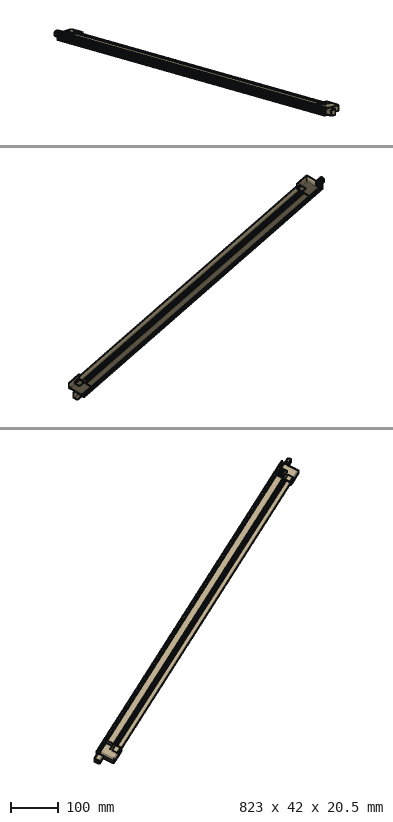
import cadquery as cq

overall_length = 823.0
overall_depth = 42.0
overall_height = 20.5

lens_start = 14.0
lens_end = 807.0
lens_thickness = 1.0
channel_height = 17.0
mid_height = channel_height / 2
rib_count = 14
rib_depth = 0.5
web_start = 16.0
web_bottom = 1.6
channel_front = 5.0
channel_back = 22.3
ledge_depth = 2.4
ledge_drop = 0.4

lip_bend = 24.8
lip_tip = 27.4
lip_rise = 2.5
lip_thickness = 0.8

tube_diameter = 11.6
tube_y = 34.5

cap_height = 15.2
cap_top = mid_height + cap_height / 2
cap_edge = 2.6
left_cap_start = 15.2
left_cap_end = 48.6
right_cap_start = 772.6
right_cap_end = 807.0
right_bevel = 4.8
right_bevel_drop = 1.5
right_corner_radius = 2.0
socket_width_left = 12.5
socket_width_right = 14.9
socket_front = 27.2
socket_rise = 0.4
joint_width = 0.5
joint_depth = 0.4
joint_offset = 5.0

switch_start = 28.8
switch_width = 9.8
switch_front = 7.4
switch_depth = 3.0
lever_start = 31.0
lever_width = 5.5
lever_base_y = 16.0
lever_shoulder = 1.5
lever_front_y = 11.6
lever_neck_y = 12.2
lever_tip_y = 11.0
lever_tip_height = 0.8
lever_thickness = 2.0

flange_end = 18.8
flange_depth = 12.0
flange_top = 14.8
inlet_front = 6.4
inlet_back = 14.9
inlet_height = 14.0
inlet_flat = 5.2
inlet_bulge_y = 9.0
inlet_bulge_drop = 1.6
inlet_wall = 1.2
inlet_recess = 8.0
pin_diameter = 2.0
pin_pitch = 3.2
outlet_height = 14.0
outlet_y = 10.2
outlet_depth = 13.4
outlet_edge = 2.4
outlet_end_chamfer = 1.2


def box(x0, x1, y0, y1, z0, z1):
    """Axis-aligned box between two corners."""
    return cq.Workplane("XY").box(x1 - x0, y1 - y0, z1 - z0, centered=False).translate((x0, y0, z0))


def centred_box(x0, x1, y0, y1, height):
    """Box whose height is centred on the middle of the channel."""
    return box(x0, x1, y0, y1, mid_height - height / 2, mid_height + height / 2)


def bar(outline, x0, x1):
    """Prism along X with a closed outline of (y, z) points."""
    return cq.Workplane("YZ").polyline(outline).close().extrude(x1 - x0).translate((x0, 0, 0))


def make_lens():
    """Front plate with sawtooth ribs along its length, and the web behind it."""
    pitch = channel_height / rib_count
    outline = [(lens_thickness, channel_height), (lens_thickness, 0), (0, 0)]
    for rib in range(rib_count):
        outline.append((rib_depth, (rib + 0.5) * pitch))
        outline.append((0, (rib + 1) * pitch))
    plate = bar(outline, lens_start, lens_end)
    web = box(web_start, lens_end, lens_thickness, channel_front, web_bottom, channel_height)
    return plate.union(web)


def make_channel():
    """Channel with a low ledge on the front and two flared reflector lips on the back."""
    ledge_back = channel_front + ledge_depth
    ledge = centred_box(web_start, lens_end, channel_front, ledge_back, channel_height - 2 * ledge_drop)
    core = box(left_cap_end, right_cap_start, ledge_back, channel_back, 0, channel_height)
    lip_outline = [
        (channel_back, lip_rise),
        (lip_bend, lip_rise),
        (lip_tip, 0),
        (lip_tip, lip_thickness),
        (lip_bend, lip_rise + lip_thickness),
        (channel_back, lip_rise + lip_thickness),
    ]
    low_lip = bar(lip_outline, left_cap_end, right_cap_start)
    high_lip = low_lip.mirror("XY", (0, 0, mid_height))
    return ledge.union(core).union(low_lip).union(high_lip)


def make_tube():
    """Lamp tube reaching into both sockets."""
    length = right_cap_start - left_cap_end + socket_width_left + socket_width_right
    start = left_cap_end - socket_width_left
    circle = cq.Workplane("YZ").center(tube_y, mid_height).circle(tube_diameter / 2)
    return circle.extrude(length).translate((start, 0, 0))


def make_socket(x0, x1):
    """Raised lamp holder at the back of an end cap."""
    holder = centred_box(x0, x1, socket_front, overall_depth, cap_height + 2 * socket_rise)
    return holder.edges("|X and >Y").chamfer(cap_edge)


def cut_joints(cap, line_x, x0, x1):
    """Shallow joint lines in the top of an end cap: one along X and one along Y."""
    joint_floor = cap_top - joint_depth
    along = box(x0, x1, channel_back - joint_width, channel_back, joint_floor, cap_top)
    across = box(line_x, line_x + joint_width, channel_front, channel_back, joint_floor, cap_top)
    return cap.cut(along).cut(across)


def make_left_cap():
    """Left end cap, rounded on the end and back, with its lamp holder and switch recess."""
    cap = centred_box(left_cap_start, left_cap_end, channel_front, overall_depth, cap_height)
    cap = cap.edges("<X or >Y").edges("not(|Z or <Y)").fillet(cap_edge)
    cap = cut_joints(cap, left_cap_end - joint_offset, switch_start, left_cap_end)
    cap = cap.union(make_socket(left_cap_end - socket_width_left, left_cap_end))
    recess = box(
        switch_start,
        switch_start + switch_width,
        switch_front,
        channel_back,
        cap_top - switch_depth,
        cap_top,
    )
    return cap.cut(recess)


def make_lever():
    """Rocker lever with an overhanging tip that rises above the switch recess."""
    outline = [
        (lever_base_y, mid_height),
        (lever_base_y, channel_height + lever_shoulder),
        (lever_tip_y + lever_thickness, overall_height),
        (lever_tip_y, overall_height),
        (lever_neck_y, overall_height - lever_tip_height),
        (lever_front_y, channel_height),
        (lever_front_y, mid_height),
    ]
    return bar(outline, lever_start, lever_start + lever_width)


def make_right_cap():
    """Right end cap with a bevelled end and its lamp holder."""
    cap = centred_box(right_cap_start, right_cap_end, channel_front, overall_depth, cap_height)
    cap = cap.edges("|Z and >X and >Y").fillet(right_corner_radius)
    cap = cap.faces(">Y").edges("|X").fillet(cap_edge)
    bevel = (
        cq.Workplane("XZ")
        .polyline([
            (right_cap_end - right_bevel, cap_top),
            (right_cap_end, cap_top),
            (right_cap_end, cap_top - right_bevel_drop),
        ])
        .close()
        .extrude(-overall_depth)
    )
    cap = cap.cut(bevel).cut(bevel.mirror("XY", (0, 0, mid_height)))
    socket_end = right_cap_start + socket_width_right
    cap = cut_joints(cap, right_cap_start + joint_offset, right_cap_start, socket_end)
    return cap.union(make_socket(right_cap_start, right_cap_start + socket_width_right))


def make_inlet():
    """Power inlet on the left: a flange and a D-shaped shroud holding a row of pins."""
    flange_back = channel_front + flange_depth
    flange = box(lens_start, flange_end, channel_front, flange_back, web_bottom, flange_top)
    low = mid_height - inlet_height / 2
    high = mid_height + inlet_height / 2
    half_flat = inlet_flat / 2
    shroud = (
        cq.Workplane("YZ")
        .moveTo(inlet_back, low)
        .lineTo(inlet_back, high)
        .threePointArc((inlet_bulge_y, high - inlet_bulge_drop), (inlet_front, mid_height + half_flat))
        .lineTo(inlet_front, mid_height - half_flat)
        .threePointArc((inlet_bulge_y, low + inlet_bulge_drop), (inlet_back, low))
        .close()
        .extrude(lens_start)
    )
    recess = centred_box(
        0,
        inlet_recess,
        inlet_front + inlet_wall,
        inlet_back - inlet_wall,
        inlet_flat + inlet_wall,
    )
    pin_y = (inlet_front + inlet_back) / 2
    pins = (
        cq.Workplane("YZ")
        .pushPoints([(pin_y, mid_height + step * pin_pitch) for step in (-0.5, 0.5)])
        .circle(pin_diameter / 2)
        .extrude(inlet_recess)
    )
    return flange.union(shroud).cut(recess).union(pins)


def make_outlet():
    """Power outlet on the right: a block with bevelled edges."""
    block = centred_box(
        right_cap_end,
        overall_length,
        outlet_y - outlet_depth / 2,
        outlet_y + outlet_depth / 2,
        outlet_height,
    )
    return block.edges("|X").fillet(outlet_edge).faces(">X").chamfer(outlet_end_chamfer)


result = make_lens()
for piece in (
    make_channel(),
    make_tube(),
    make_left_cap(),
    make_lever(),
    make_right_cap(),
    make_inlet(),
    make_outlet(),
):
    result = result.union(piece)